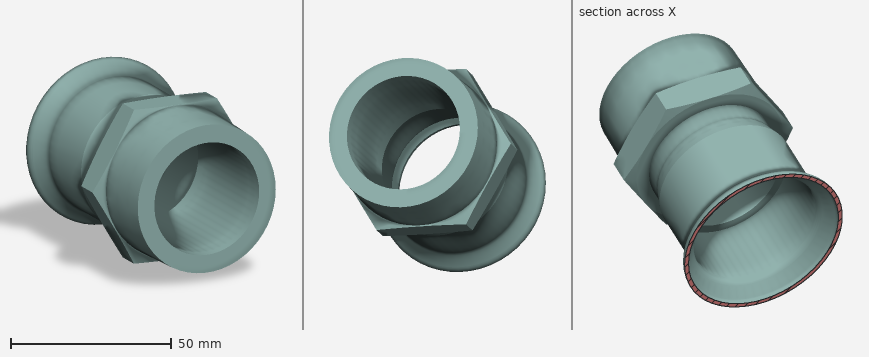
import cadquery as cq
import math


total_length = 75.0
socket_end = 31.95
neck_start = 37.9
hex_start = 44.0
hex_end = 54.0

tube_radius = 45.0 / 2
neck_radius = 41.4 / 2
bore_radius = 36.45 / 2
wall = 1.5
socket_radius = tube_radius - wall

bead_radius = 3.0
bead_center = (bead_radius, 54.0 / 2 - bead_radius)
bead_slope = math.radians(45)
bead_end = 9.45

hex_across_flats = 50.0
hex_across_corners = hex_across_flats / math.cos(math.radians(30))
hex_chamfer_angle = math.radians(15)

taper_ratio = 1 / 16
male_end_radius = 24.0
male_root_radius = male_end_radius + (total_length - hex_end) * taper_ratio / 2

slope_height = bead_center[1] - tube_radius
slope_run = bead_end - bead_center[0]
blend_radius = (
    (slope_height * math.cos(bead_slope) + bead_radius - slope_run * math.sin(bead_slope))
    / (math.cos(bead_slope) - 1)
)
blend_center = (bead_end, tube_radius + blend_radius)


def point_on_circle(center, radius, angle):
    """Point at an angle measured from the radial direction toward +X."""
    return (center[0] + radius * math.sin(angle), center[1] + radius * math.cos(angle))


def bead_profile(path, offset):
    """Add the bead crest, its slope and the fillet, set inward by an offset."""
    crest = bead_radius - offset
    blend = blend_radius + offset
    return (
        path.lineTo(*point_on_circle(bead_center, crest, -math.pi / 2))
        .threePointArc(
            point_on_circle(bead_center, crest, 0),
            point_on_circle(bead_center, crest, bead_slope),
        )
        .lineTo(*point_on_circle(blend_center, blend, math.pi + bead_slope))
        .threePointArc(
            point_on_circle(blend_center, blend, math.pi + bead_slope / 2),
            point_on_circle(blend_center, blend, math.pi),
        )
    )


def revolve_about_x(path):
    return path.close().revolve(360, (0, 0, 0), (1, 0, 0))


def outer_body():
    path = bead_profile(cq.Workplane("XY").moveTo(0, 0), 0)
    return revolve_about_x(
        path.lineTo(socket_end, tube_radius)
        .lineTo(neck_start, neck_radius)
        .lineTo(hex_end, neck_radius)
        .lineTo(hex_end, male_root_radius)
        .lineTo(total_length, male_end_radius)
        .lineTo(total_length, 0)
    )


def inner_space():
    """Mouth, seal groove inside the bead, socket with stop shoulder, and bore."""
    path = cq.Workplane("XY").moveTo(0, 0).lineTo(0, socket_radius).lineTo(wall, socket_radius)
    return revolve_about_x(
        bead_profile(path, wall)
        .lineTo(socket_end, socket_radius)
        .lineTo(socket_end, bore_radius)
        .lineTo(total_length, bore_radius)
        .lineTo(total_length, 0)
    )


def hexagon():
    """Hexagonal prism with its corners chamfered on both faces."""
    flat_radius = hex_across_flats / 2
    corner_radius = hex_across_corners / 2
    chamfer_depth = (corner_radius - flat_radius) * math.tan(hex_chamfer_angle)
    prism = (
        cq.Workplane("YZ")
        .workplane(offset=hex_start)
        .polygon(6, hex_across_corners)
        .extrude(hex_end - hex_start)
    )
    envelope = revolve_about_x(
        cq.Workplane("XY")
        .moveTo(hex_start, 0)
        .lineTo(hex_start, flat_radius)
        .lineTo(hex_start + chamfer_depth, corner_radius)
        .lineTo(hex_end - chamfer_depth, corner_radius)
        .lineTo(hex_end, flat_radius)
        .lineTo(hex_end, 0)
    )
    return prism.intersect(envelope)


result = outer_body().union(hexagon()).cut(inner_space())